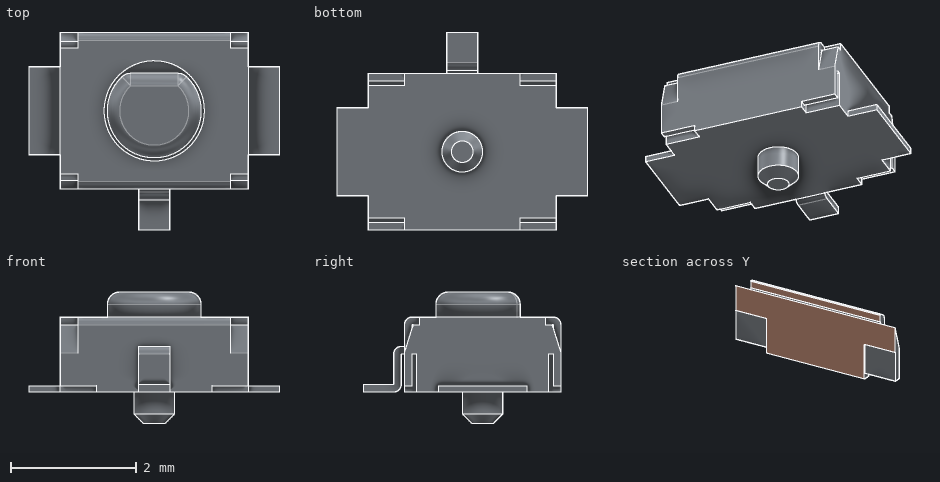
import cadquery as cq

body_length = 3.0
body_width = 2.5
body_height = 1.2
sheet = 0.125
half_width = body_width / 2
base_top = body_height - sheet

shoulder_z = 0.61
slope_start_z = 0.63
slope_inset = 0.14
lower_inset = 0.195
tongue_length = 1.85

wall_bottom_z = 0.1
notch_length = 0.28
notch_width = 0.245
button_hole_diameter = 1.6

button_diameter = 1.5
button_top_z = 1.6
button_flat_y = 0.6
button_fillet = 0.2

pin_diameter = 0.65
pin_length = 0.5
pin_chamfer = 0.15

tab_span = 4.0
tab_width = 1.41
tab_thickness = 0.1
ground_width = 0.5
ground_reach = 0.65
ground_gap = 0.05


def block(length, width, bottom, top):
    """Box centred on the Z axis, between two heights."""
    return cq.Workplane("XY", origin=(0, 0, bottom)).box(
        length, width, top - bottom, centered=(True, True, False)
    )


def make_base():
    lower_half = half_width - lower_inset
    top_half = half_width - slope_inset
    profile = [
        (-lower_half, 0),
        (lower_half, 0),
        (lower_half, shoulder_z),
        (half_width, shoulder_z),
        (half_width, slope_start_z),
        (top_half, base_top),
        (-top_half, base_top),
        (-half_width, slope_start_z),
        (-half_width, shoulder_z),
        (-lower_half, shoulder_z),
    ]
    base = cq.Workplane("YZ").polyline(profile).close().extrude(body_length / 2, both=True)
    return base.union(block(tongue_length, body_width, 0, shoulder_z))


def make_cover():
    cover = block(body_length, body_width, wall_bottom_z, body_height)
    cover = cover.edges("|X and >Z").fillet(sheet)
    cover = cover.cut(block(body_length, body_width - 2 * sheet, wall_bottom_z, base_top))
    for x_side in (-1, 1):
        for y_side in (-1, 1):
            notch = block(2 * notch_length, 2 * notch_width, shoulder_z, body_height)
            cover = cover.cut(notch.translate((x_side * body_length / 2, y_side * half_width, 0)))
    hole = cq.Workplane("XY").circle(button_hole_diameter / 2).extrude(body_height)
    return cover.cut(hole)


def make_button():
    radius = button_diameter / 2
    button = cq.Workplane("XY", origin=(0, 0, base_top)).circle(radius).extrude(button_top_z - base_top)
    keep_width = button_flat_y + radius
    keep = block(button_diameter, keep_width, base_top, button_top_z)
    keep = keep.translate((0, button_flat_y - keep_width / 2, 0))
    button = button.intersect(keep)
    button = button.edges("|Z and >Y").fillet(button_fillet)
    return button.faces(">Z").edges().fillet(button_fillet)


def make_pin():
    pin = cq.Workplane("XY").circle(pin_diameter / 2).extrude(-pin_length)
    return pin.faces("<Z").chamfer(pin_chamfer)


def make_ground_terminal():
    """Stepped strip leaving the front wall, dropping to the seating plane and turning outward."""
    wall_y = -half_width
    inner_y = wall_y - ground_gap
    outer_y = inner_y - sheet
    end_y = wall_y - ground_reach
    top_z = shoulder_z + sheet
    return (
        cq.Workplane("YZ")
        .moveTo(wall_y, top_z)
        .lineTo(inner_y, top_z)
        .radiusArc((outer_y, shoulder_z), -sheet)
        .lineTo(outer_y, sheet)
        .lineTo(end_y, sheet)
        .lineTo(end_y, 0)
        .lineTo(outer_y, 0)
        .radiusArc((inner_y, sheet), -sheet)
        .lineTo(inner_y, shoulder_z)
        .lineTo(wall_y, shoulder_z)
        .close()
        .extrude(ground_width / 2, both=True)
    )


side_tabs = block(tab_span, tab_width, 0, tab_thickness)

result = (
    make_base()
    .union(make_cover())
    .union(make_button())
    .union(make_pin())
    .union(side_tabs)
    .union(make_ground_terminal())
)